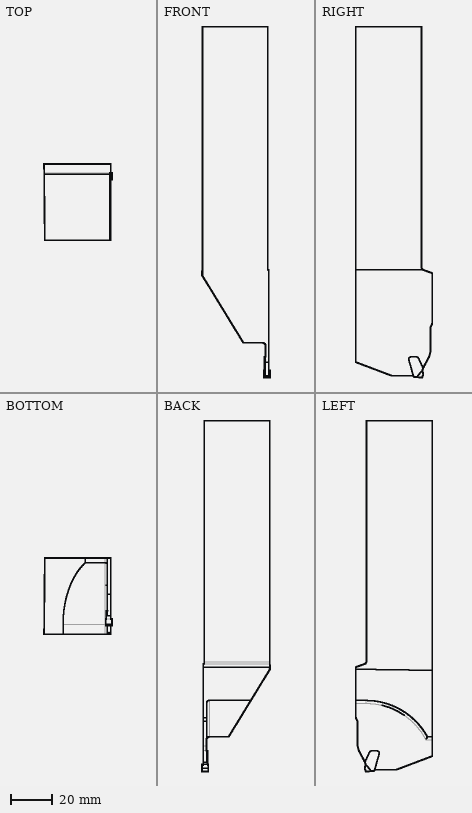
import cadquery as cq
import math

total_height = 170.0
shank_size = 32.0
side_draft = 0.3

head_right = 32.5
head_depth = 37.0
head_step_height = 52.2
shoulder_edge_height = 50.7
shoulder_height = 52.5
shoulder_radius = 1.2
head_bottom = 0.8
heel_height = 7.5
heel_end = 17.5

nose_y = 36.2
nose_step_top = 26.2
nose_step_bottom = 24.3
nose_chamfer_top = 12.5
nose_chamfer_bottom = (35.7, 10.4)

slope_top = 49.6
slope_bottom = 16.8
slope_bottom_x = 20.0

blade_left = 30.8
recess_radius = 34.0
recess_crown_y = 32.1
recess_crown_z = 34.5
recess_fillet = 1.4

margin = 3.4

stem_left = 30.3
stem_right = head_right
tip_left = 30.0
tip_right = 33.0
tip_bottom = (32.1, 0.0)
cutting_corner = (32.8, 1.7)
stem_corner_radius = 1.0
stem_back_top = (30.1, 10.0)
stem_front_top = (25.3, 10.0)
stem_front_bottom = (28.0, 0.3)
stem_back_bottom = (32.6, 4.6)
tip_upper = (32.3, 3.5)
tip_lower = (29.4, 0.2)


def side_prism(points, x_start, x_end):
    """Extrude a closed (Y, Z) outline along X."""
    return (cq.Workplane("YZ").workplane(offset=x_start)
            .polyline(points).close().extrude(x_end - x_start))


def side_profile():
    """Shank and head together, as wide as the head."""
    points = [
        (0, total_height),
        (0, heel_height),
        (heel_end, head_bottom),
        (tip_lower[0], head_bottom),
        stem_back_bottom,
        nose_chamfer_bottom,
        (nose_y, nose_chamfer_top),
        (nose_y, nose_step_bottom),
        (head_depth, nose_step_top),
        (head_depth, shoulder_edge_height),
        (shank_size, shoulder_height),
        (shank_size, total_height),
    ]
    body = side_prism(points, 0, head_right)
    middle = (head_right / 2, shank_size, shoulder_height)
    return body.edges(cq.NearestToPointSelector(middle)).fillet(shoulder_radius)


def shank_relief():
    """Thin layer that sets the shank's right side in from the head."""
    return cq.Workplane("XY").box(
        head_right - shank_size, head_depth, total_height - head_step_height, centered=False,
    ).translate((shank_size, 0, head_step_height))


def left_draft():
    """Wedge that leans the left side."""
    return (cq.Workplane("XY")
            .polyline([(0, 0), (side_draft, 0), (0, head_depth)]).close()
            .extrude(total_height))


def slope_cut():
    """Wedge below the sloping left face of the head."""
    return (cq.Workplane("XZ")
            .polyline([(0, slope_top), (slope_bottom_x, slope_bottom), (0, slope_bottom)]).close()
            .extrude(-head_depth))


def recess_cut():
    """Recess with an arched wall, rounded where the wall meets the blade."""
    center_z = recess_crown_z - recess_radius
    arc_end_y = recess_crown_y - math.sqrt(recess_radius**2 - (slope_bottom - center_z)**2)
    diagonal = recess_radius * math.sqrt(0.5)
    cut = (cq.Workplane("YZ")
           .moveTo(-margin, -margin)
           .lineTo(-margin, slope_bottom)
           .lineTo(arc_end_y, slope_bottom)
           .threePointArc((recess_crown_y - diagonal, center_z + diagonal),
                          (recess_crown_y, recess_crown_z))
           .lineTo(head_depth + margin, recess_crown_z)
           .lineTo(head_depth + margin, -margin)
           .close().extrude(blade_left))
    wall_foot = cq.selectors.BoxSelector(
        (0, -margin / 2, slope_bottom / 2),
        (total_height, head_depth + margin / 2, total_height))
    return cut.faces(">X").edges(wall_foot).fillet(recess_fillet)


def make_insert():
    """Cutting insert: slanted stem with a rounded top and a wider tip."""
    stem = side_prism([stem_back_bottom, stem_back_top, stem_front_top,
                       stem_front_bottom, tip_lower, tip_upper], stem_left, stem_right)
    stem = stem.edges("|X and >Z").fillet(stem_corner_radius)
    tip = side_prism([tip_upper, cutting_corner, tip_bottom, tip_lower], tip_left, tip_right)
    return stem.union(tip)


insert = make_insert()
holder = (side_profile()
          .cut(shank_relief())
          .cut(left_draft())
          .cut(slope_cut())
          .cut(recess_cut())
          .cut(insert))

result = cq.Compound.makeCompound([holder.solids().val(), insert.solids().val()])